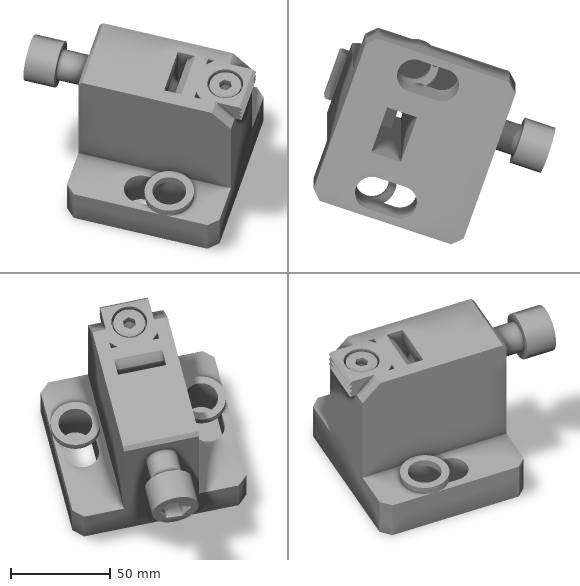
import cadquery as cq
import math


housing_length = 80.0
base_width = 90.0
base_height = 20.0
base_corner_chamfer = 5.0
housing_height = 80.0
tower_width = 39.0
tower_rear_chamfer = 2.0

slot_width = 17.0
slot_travel = 15.0
ring_diameter = 25.0
ring_height = 4.0
ring_x = 51.5
ring_y = (base_width - ring_diameter) / 2

jaw_width = 25.0
jaw_thickness = 10.0
jaw_overhang = 4.0
jaw_rear_x = 48.1
jaw_rear_chamfer = 4.0
leg_length = 10.8
leg_depth = 25.0
tooth_pitch = 3.0
tooth_depth = tooth_pitch / 2
tooth_count = 3
notch_length = 3.5
jaw_tip_x = housing_length + jaw_overhang
leg_front_x = jaw_rear_x + leg_length
ledge_z = housing_height - jaw_thickness

tower_front_chamfer = jaw_thickness

channel_rear_x = 43.0

screw_axis_z = 64.0
screw_diameter = 16.0
screw_head_diameter = 24.0
screw_head_length = 16.0
screw_exposed_length = 15.0
screw_tip_chamfer = 2.2
screw_dome_height = 3.9
screw_socket_flats = 14.0
screw_socket_depth = 8.0

jaw_screw_x = 71.5
jaw_screw_diameter = 10.0
jaw_screw_head_diameter = 16.0
jaw_screw_recess = 1.0
jaw_screw_depth = 30.0
jaw_screw_socket_flats = 6.0
jaw_screw_socket_depth = 4.0
counterbore_diameter = 18.0
counterbore_depth = 6.0
counterbore_floor_z = housing_height - counterbore_depth

socket_turn = -4.5


def hexagon(workplane, flats):
    """A hexagon outline of the given width across flats, turned about its centre."""
    corner_radius = flats / math.sqrt(3)
    angles = [math.radians(socket_turn + 60 * i) for i in range(6)]
    corners = [(corner_radius * math.cos(a), corner_radius * math.sin(a)) for a in angles]
    return workplane.polyline(corners).close()


def block(x_start, x_end, width, z_start, z_end):
    """A box centred on Y between the given X and Z limits."""
    return (
        cq.Workplane("XY", origin=(x_start, 0, z_start))
        .rect(x_end - x_start, width, centered=(False, True))
        .extrude(z_end - z_start)
    )


def vertical_cylinder(x, y, diameter, z_start, z_end):
    return cq.Workplane("XY", origin=(x, y, z_start)).circle(diameter / 2).extrude(z_end - z_start)


def add_ring_and_slot(body, y):
    """Adds a raised ring, bored down through the base, and the slot that runs back from its bore."""
    ring_top_z = base_height + ring_height
    disc = vertical_cylinder(ring_x, y, ring_diameter, base_height, ring_top_z)
    bore = vertical_cylinder(ring_x, y, slot_width, 0, ring_top_z)
    slot = (
        cq.Workplane("XY", origin=(ring_x - slot_travel / 2, y, 0))
        .slot2D(slot_travel + slot_width, slot_width)
        .extrude(base_height)
    )
    return body.union(disc).cut(bore).cut(slot)


def make_housing():
    base = block(0, housing_length, base_width, 0, base_height).edges("|Z").chamfer(base_corner_chamfer)
    tower = (
        block(0, housing_length, tower_width, 0, housing_height)
        .edges(">Z and <X").chamfer(tower_rear_chamfer)
        .edges(">Z and >X").chamfer(tower_front_chamfer)
    )
    body = base.union(tower)
    for y in (-ring_y, ring_y):
        body = add_ring_and_slot(body, y)

    body = body.cut(block(channel_rear_x, leg_front_x, jaw_width, 0, housing_height))
    body = body.cut(block(leg_front_x, housing_length, jaw_width, ledge_z, housing_height))

    clamping_hole = (
        cq.Workplane("YZ", origin=(0, 0, screw_axis_z)).circle(screw_diameter / 2).extrude(channel_rear_x)
    )
    jaw_screw_hole = vertical_cylinder(
        jaw_screw_x, 0, jaw_screw_diameter, housing_height - jaw_screw_depth, ledge_z
    )
    return body.cut(clamping_hole).cut(jaw_screw_hole)


def make_jaw():
    root_x = jaw_tip_x - tooth_depth
    outline = (
        cq.Workplane("XZ", origin=(0, jaw_width / 2, 0))
        .moveTo(jaw_rear_x, housing_height - leg_depth)
        .lineTo(jaw_rear_x, housing_height - jaw_rear_chamfer)
        .lineTo(jaw_rear_x + jaw_rear_chamfer, housing_height)
        .lineTo(root_x, housing_height)
    )
    for tooth in range(tooth_count):
        tooth_top_z = housing_height - tooth * tooth_pitch
        outline = outline.lineTo(jaw_tip_x, tooth_top_z - tooth_pitch / 2)
        outline = outline.lineTo(root_x, tooth_top_z - tooth_pitch)
    last_flank = jaw_thickness - tooth_count * tooth_pitch
    jaw = (
        outline.lineTo(root_x + last_flank, ledge_z)
        .lineTo(leg_front_x, ledge_z)
        .lineTo(leg_front_x, housing_height - leg_depth)
        .close()
        .extrude(jaw_width)
    )

    for side in (-1, 1):
        edge_y = side * jaw_width / 2
        notch = (
            cq.Workplane("XY", origin=(0, 0, ledge_z))
            .moveTo(leg_front_x, edge_y)
            .lineTo(leg_front_x + notch_length, edge_y)
            .lineTo(leg_front_x, edge_y - side * notch_length)
            .close()
            .extrude(jaw_thickness)
        )
        jaw = jaw.cut(notch)

    counterbore = vertical_cylinder(jaw_screw_x, 0, counterbore_diameter, counterbore_floor_z, housing_height)
    shank_hole = vertical_cylinder(jaw_screw_x, 0, jaw_screw_diameter, ledge_z, counterbore_floor_z)
    return jaw.cut(counterbore).cut(shank_hole)


def make_clamping_screw():
    head_rear_x = -screw_exposed_length - screw_head_length
    shank_radius = screw_diameter / 2
    head_radius = screw_head_diameter / 2
    dome_radius = shank_radius - screw_tip_chamfer
    dome_base_x = jaw_rear_x - screw_dome_height
    sphere_radius = (dome_radius**2 + screw_dome_height**2) / (2 * screw_dome_height)
    half_angle = math.asin(dome_radius / sphere_radius) / 2
    arc_x = jaw_rear_x - sphere_radius * (1 - math.cos(half_angle))
    arc_radius = sphere_radius * math.sin(half_angle)
    screw = (
        cq.Workplane("XY")
        .moveTo(head_rear_x, 0)
        .lineTo(head_rear_x, head_radius)
        .lineTo(-screw_exposed_length, head_radius)
        .lineTo(-screw_exposed_length, shank_radius)
        .lineTo(dome_base_x - screw_tip_chamfer, shank_radius)
        .lineTo(dome_base_x, dome_radius)
        .threePointArc((arc_x, arc_radius), (jaw_rear_x, 0))
        .close()
        .revolve(360, (0, 0, 0), (1, 0, 0))
        .translate((0, 0, screw_axis_z))
    )
    socket_plane = cq.Plane(origin=(head_rear_x, 0, screw_axis_z), xDir=(0, -1, 0), normal=(-1, 0, 0))
    socket = hexagon(cq.Workplane(socket_plane), screw_socket_flats).extrude(-screw_socket_depth)
    return screw.cut(socket)


def make_jaw_screw():
    head_top_z = housing_height - jaw_screw_recess
    head = vertical_cylinder(jaw_screw_x, 0, jaw_screw_head_diameter, counterbore_floor_z, head_top_z)
    shank = vertical_cylinder(
        jaw_screw_x, 0, jaw_screw_diameter, housing_height - jaw_screw_depth, counterbore_floor_z
    )
    socket_top = cq.Workplane("XY", origin=(jaw_screw_x, 0, head_top_z))
    socket = hexagon(socket_top, jaw_screw_socket_flats).extrude(-jaw_screw_socket_depth)
    return head.union(shank).cut(socket)


housing = make_housing()
jaw = make_jaw()
clamping_screw = make_clamping_screw()
jaw_screw = make_jaw_screw()

result = cq.Compound.makeCompound([housing.val(), jaw.val(), clamping_screw.val(), jaw_screw.val()])